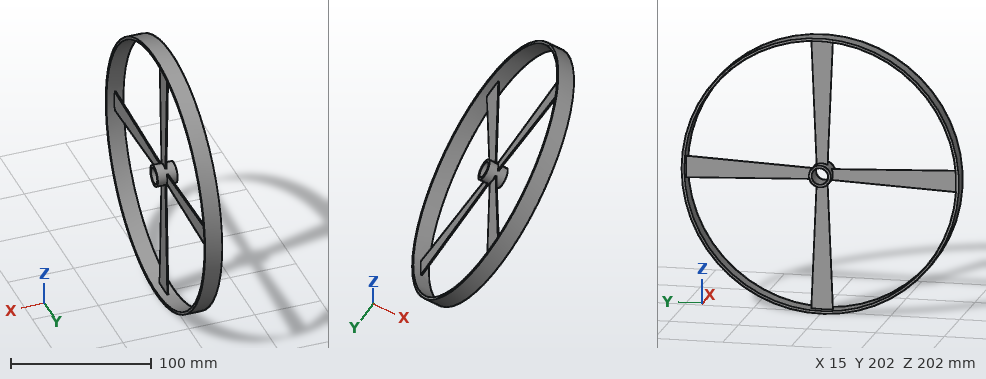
import cadquery as cq

rim_diameter = 202.0
rim_thickness = 2.0
rim_width = 13.0
hub_diameter = 16.0
hub_length = 15.0
bore_diameter = 12.0
spoke_count = 4
spoke_thickness = 1.0
spoke_root_width = 8.0
spoke_tip_width = 15.8

rim_inner_radius = rim_diameter / 2 - rim_thickness
hub_radius = hub_diameter / 2
spoke_root_radius = (hub_diameter + bore_diameter) / 4
spoke_tip_radius = rim_inner_radius + rim_thickness / 2
spoke_half_taper = (spoke_tip_width - spoke_root_width) / 2 / (rim_inner_radius - hub_radius)


def ring(outer_diameter, inner_diameter, width):
    """Tube about the X axis, centred on the YZ plane."""
    plane = cq.Workplane("YZ", origin=(-width / 2, 0, 0))
    return plane.circle(outer_diameter / 2).circle(inner_diameter / 2).extrude(width)


def spoke_half_width(radius):
    """Half the spoke width at a distance from the axle."""
    return spoke_root_width / 2 + spoke_half_taper * (radius - hub_radius)


def spoke():
    """Flat tapered blade pointing along +Y, widening toward the rim."""
    root = spoke_half_width(spoke_root_radius)
    tip = spoke_half_width(spoke_tip_radius)
    corners = [
        (spoke_root_radius, -root),
        (spoke_tip_radius, -tip),
        (spoke_tip_radius, tip),
        (spoke_root_radius, root),
    ]
    plane = cq.Workplane("YZ", origin=(-spoke_thickness / 2, 0, 0))
    return plane.polyline(corners).close().extrude(spoke_thickness)


rim = ring(rim_diameter, 2 * rim_inner_radius, rim_width)
hub = ring(hub_diameter, bore_diameter, hub_length)

result = rim
for index in range(spoke_count):
    angle = index * 360 / spoke_count
    result = result.union(spoke().rotate((0, 0, 0), (1, 0, 0), angle))
result = result.union(hub)